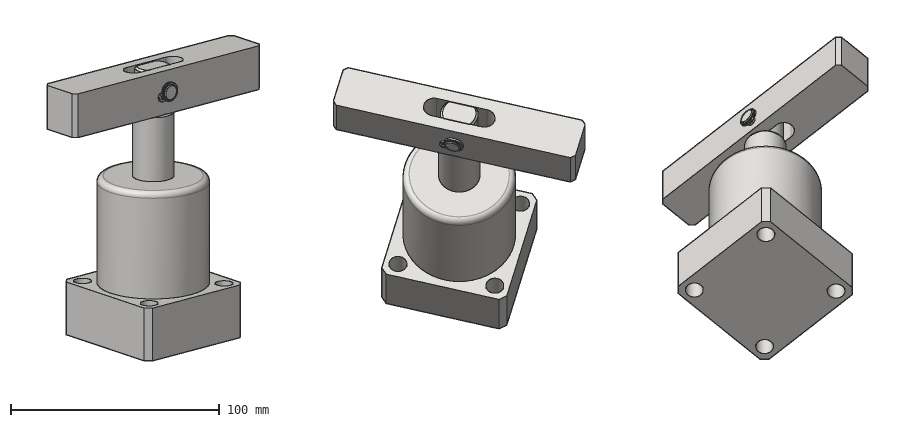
import cadquery as cq
import math

total_height = 135.6
base_height = 26.5
housing_top = 80.0

base_side = 62.0
base_corner_chamfer = 3.0
bolt_spacing = 48.0
bolt_hole_diameter = 8.5
housing_diameter = 54.0
housing_top_fillet = 3.0

bar_length = 120.0
bar_width = 22.0
bar_height = 22.0
bar_corner_chamfer = 2.0
slot_length = 35.0
slot_width = 10.0
bar_bottom = total_height - bar_height

rod_diameter = 20.0
rod_chamfer = 1.0
shoulder_gap = 0.5
shoulder_height = bar_bottom - shoulder_gap
rod_bottom = base_height
tongue_diameter = rod_diameter - 2 * rod_chamfer
tongue_chamfer = 1.0
tongue_top_recess = 0.5
tongue_top = total_height - tongue_top_recess

pin_diameter = 8.0
pin_overhang = 2.0
pin_chamfer = 0.5
pin_length = bar_width + 2 * pin_overhang
pin_height = bar_bottom + bar_height / 2

clip_thickness = 1.0
clip_diameter = 9.4
clip_bore_diameter = 7.0
clip_eccentricity = 0.3
lug_diameter = 4.4
lug_distance = 4.75
lug_hole_diameter = 2.2
lug_tilt = 22.0
left_lug_angle = 270.0 - lug_tilt
right_lug_angle = 180.0 + lug_tilt


def cylinder_along_x(diameter, x_start, length, y=0.0, z=pin_height):
    """Solid cylinder parallel to X, starting at x_start."""
    return (
        cq.Workplane("YZ", origin=(x_start, y, z))
        .circle(diameter / 2)
        .extrude(length)
    )


def make_housing():
    base = (
        cq.Workplane("XY")
        .rect(base_side, base_side)
        .extrude(base_height)
        .edges("|Z")
        .chamfer(base_corner_chamfer)
    )
    bolt_holes = (
        cq.Workplane("XY")
        .rect(bolt_spacing, bolt_spacing, forConstruction=True)
        .vertices()
        .circle(bolt_hole_diameter / 2)
        .extrude(base_height)
    )
    cylinder = (
        cq.Workplane("XY", origin=(0, 0, base_height))
        .circle(housing_diameter / 2)
        .extrude(housing_top - base_height)
        .faces(">Z")
        .edges()
        .fillet(housing_top_fillet)
    )
    rod_bore = (
        cq.Workplane("XY", origin=(0, 0, rod_bottom))
        .circle(rod_diameter / 2)
        .extrude(housing_top - rod_bottom)
    )
    return base.cut(bolt_holes).union(cylinder).cut(rod_bore)


def make_rod(pin):
    shank = (
        cq.Workplane("XY", origin=(0, 0, rod_bottom))
        .circle(rod_diameter / 2)
        .extrude(shoulder_height - rod_bottom)
        .faces(">Z")
        .edges()
        .chamfer(rod_chamfer)
    )
    tongue_length = tongue_top - shoulder_height
    tongue_flats = (
        cq.Workplane("XY", origin=(0, 0, shoulder_height))
        .rect(slot_width, rod_diameter)
        .extrude(tongue_length)
    )
    tongue = (
        cq.Workplane("XY", origin=(0, 0, shoulder_height))
        .circle(tongue_diameter / 2)
        .extrude(tongue_length)
        .faces(">Z")
        .edges()
        .chamfer(tongue_chamfer)
        .intersect(tongue_flats)
    )
    return shank.union(tongue).cut(pin)


def make_bar(pin):
    slot = (
        cq.Workplane("XY", origin=(0, 0, bar_bottom))
        .slot2D(slot_length, slot_width, 90)
        .extrude(bar_height)
    )
    return (
        cq.Workplane("XY", origin=(0, 0, bar_bottom))
        .rect(bar_width, bar_length)
        .extrude(bar_height)
        .edges("|Z")
        .chamfer(bar_corner_chamfer)
        .cut(slot)
        .cut(pin)
    )


def make_clip(x_start, lug_angle):
    """Eccentric retaining ring, widest opposite its single pierced lug."""
    lug_y = math.cos(math.radians(lug_angle))
    lug_z = math.sin(math.radians(lug_angle))

    def disc(diameter, offset):
        return cylinder_along_x(
            diameter,
            x_start,
            clip_thickness,
            y=offset * lug_y,
            z=pin_height + offset * lug_z,
        )

    return (
        disc(clip_diameter, -clip_eccentricity)
        .union(disc(lug_diameter, lug_distance))
        .cut(disc(lug_hole_diameter, lug_distance))
        .cut(disc(clip_bore_diameter, 0.0))
    )


def make_pin(clip_starts):
    pin = (
        cylinder_along_x(pin_diameter, -pin_length / 2, pin_length)
        .faces("<X or >X")
        .edges()
        .chamfer(pin_chamfer)
    )
    for x_start in clip_starts:
        groove = cylinder_along_x(pin_diameter, x_start, clip_thickness).cut(
            cylinder_along_x(clip_bore_diameter, x_start, clip_thickness)
        )
        pin = pin.cut(groove)
    return pin


left_clip_start = -bar_width / 2 - clip_thickness
right_clip_start = bar_width / 2
clip_places = [
    (left_clip_start, left_lug_angle),
    (right_clip_start, right_lug_angle),
]

pin = make_pin([x_start for x_start, lug_angle in clip_places])
housing = make_housing()
rod = make_rod(pin)
bar = make_bar(pin)
clips = [make_clip(x_start, lug_angle) for x_start, lug_angle in clip_places]

bodies = [housing, rod, bar, pin, *clips]
result = cq.Compound.makeCompound([body.solids().val() for body in bodies])